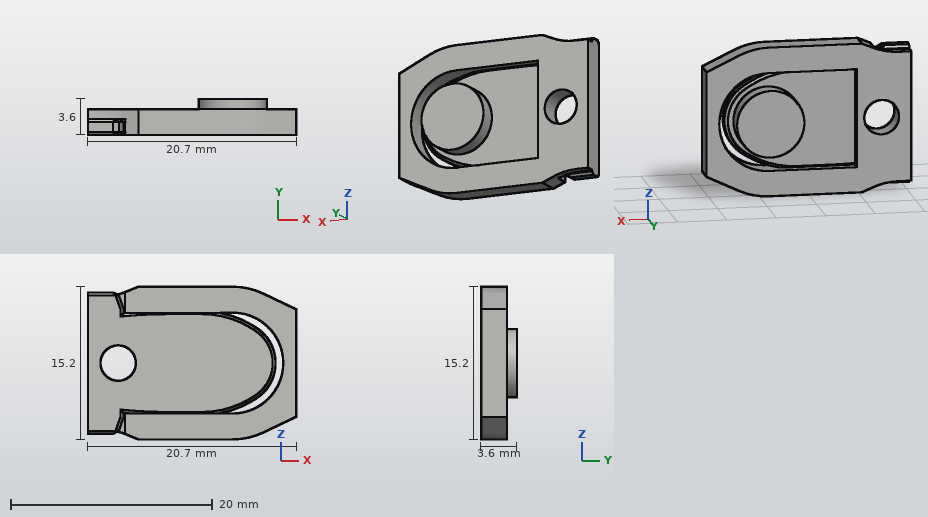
import cadquery as cq
import math

LENGTH = 20.7
HALF_WIDTH = 7.6
THICKNESS = 2.6
NECK_HALF_WIDTH = 6.6
NECK_LENGTH = 1.27
NECK_ARC_END_X = 4.05
ARM_FLAT_START_X = 5.0
NECK_SLOPE = math.radians(22.5)
WINDOW_RADIUS = 5.0
WINDOW_CENTER_X = 14.4
NOSE_RADIUS = 7.0
NOSE_SLOPE = math.radians(25.5)
ARM_FRONT_START_X = 3.7
BACK_WINDOW_START_X = 5.5

INSERT_THICKNESS = 1.6
INSERT_CHAMFER = 0.3
HEAD_HALF_WIDTH = 7.03
HEAD_CORNER_X = 2.96
HEAD_CUT_START_X = 2.5
HEAD_CUT_END_X = 3.07
HEAD_SIDE_X = 3.51
HEAD_SIDE_TOP_Z = 5.46
TONGUE_ROOT_HALF_WIDTH = 4.95
CROWN_HALF_WIDTH = 5.155
CROWN_START_X = 7.8
CROWN_END_X = 11.4
TIP_X = 18.66
TIP_RADIUS = 4.17
TIP_BLEND_ANGLE = math.radians(31)

HOLE_DIAMETER = 3.5
HOLE_X = 3.0
PAD_DIAMETER = 6.8
PAD_HEIGHT = 1.0


def extrude_y(sketch, y_start, depth):
    """Extrude a closed XZ outline towards +Y, starting at y_start."""
    return sketch.extrude(-depth).translate((0, y_start, 0))


def with_mirror(half):
    """Join a solid lying on z >= 0 to its mirror image."""
    return half.union(half.mirror("XY"))


def cylinder_y(x, diameter, y_start, depth):
    """Round bar along Y on the centre line of the part."""
    return extrude_y(cq.Workplane("XZ").center(x, 0).circle(diameter / 2), y_start, depth)


def frame_blank():
    """Outer shape of the frame over the full thickness, without window or head recess."""
    neck_end_z = HALF_WIDTH - (ARM_FLAT_START_X - NECK_ARC_END_X) * math.tan(NECK_SLOPE)
    nose_end_x = WINDOW_CENTER_X + NOSE_RADIUS * math.sin(NOSE_SLOPE)
    nose_end_z = HALF_WIDTH - NOSE_RADIUS * (1 - math.cos(NOSE_SLOPE))
    end_half_width = nose_end_z - (LENGTH - nose_end_x) * math.tan(NOSE_SLOPE)
    half = (
        cq.Workplane("XZ")
        .lineTo(0, NECK_HALF_WIDTH)
        .lineTo(NECK_LENGTH, NECK_HALF_WIDTH)
        .tangentArcPoint((NECK_ARC_END_X, neck_end_z), relative=False)
        .lineTo(ARM_FLAT_START_X, HALF_WIDTH)
        .lineTo(WINDOW_CENTER_X, HALF_WIDTH)
        .tangentArcPoint((nose_end_x, nose_end_z), relative=False)
        .lineTo(LENGTH, end_half_width)
        .lineTo(LENGTH, 0)
        .close()
    )
    return with_mirror(extrude_y(half, 0, THICKNESS))


def window_layer(start_x, y_start, depth):
    """Straight-sided, round-ended opening between the arms, over one layer."""
    straight = WINDOW_CENTER_X - start_x
    outline = (
        cq.Workplane("XZ")
        .center(start_x + straight / 2, 0)
        .rect(straight, 2 * WINDOW_RADIUS)
    )
    end = cylinder_y(WINDOW_CENTER_X, 2 * WINDOW_RADIUS, y_start, depth)
    return extrude_y(outline, y_start, depth).union(end)


def window():
    """Window of the frame, shorter at the back so that a wall backs the hole."""
    front = window_layer(ARM_FRONT_START_X, 0, INSERT_THICKNESS)
    back = window_layer(BACK_WINDOW_START_X, INSERT_THICKNESS, THICKNESS - INSERT_THICKNESS)
    return front.union(back)


def head_recess():
    """Front part of the neck that makes room for the head of the insert."""
    outline = (
        cq.Workplane("XZ")
        .center(ARM_FRONT_START_X / 2, 0)
        .rect(ARM_FRONT_START_X, 2 * HALF_WIDTH)
    )
    return extrude_y(outline, 0, INSERT_THICKNESS)


def head_corner_cut():
    """Wedges for the two outer head corners: a flat with a sloped triangle at each end."""
    side_run = HEAD_SIDE_X - HEAD_CORNER_X
    side_drop = HEAD_HALF_WIDTH - HEAD_SIDE_TOP_Z
    cut_run = HEAD_CUT_END_X - HEAD_CUT_START_X
    cut_drop = (HEAD_CUT_END_X - HEAD_CORNER_X) * side_drop / side_run
    cut_length = math.hypot(cut_run, cut_drop)
    outward = (cut_drop / cut_length, cut_run / cut_length)
    corner_turn = math.atan2(side_drop, side_run)
    face_corner_x = HEAD_CORNER_X - INSERT_CHAMFER * math.tan(corner_turn / 2)
    inset = INSERT_CHAMFER * outward[1] - (face_corner_x - HEAD_CUT_START_X) * outward[0]
    across = cq.Plane(
        origin=(HEAD_CUT_START_X, 0, HEAD_HALF_WIDTH),
        xDir=(outward[0], 0, outward[1]),
        normal=(-cut_run, 0, cut_drop),
    )
    wedge = (
        cq.Workplane(across)
        .moveTo(-inset, 0)
        .lineTo(0, INSERT_CHAMFER)
        .lineTo(0, INSERT_THICKNESS - INSERT_CHAMFER)
        .lineTo(-inset, INSERT_THICKNESS)
        .lineTo(cut_length, INSERT_THICKNESS)
        .lineTo(cut_length, 0)
        .close()
        .extrude(2 * cut_length, both=True)
    )
    return with_mirror(wedge)


def insert():
    """Head and tongue in one piece, chamfered on the front and back edges."""
    sin_blend = math.sin(TIP_BLEND_ANGLE)
    cos_blend = math.cos(TIP_BLEND_ANGLE)
    tip_center_x = TIP_X - TIP_RADIUS
    shoulder_radius = (
        (tip_center_x - CROWN_END_X) * sin_blend + TIP_RADIUS - CROWN_HALF_WIDTH * cos_blend
    ) / (1 - cos_blend)
    shoulder_end = (
        CROWN_END_X + shoulder_radius * sin_blend,
        CROWN_HALF_WIDTH - shoulder_radius * (1 - cos_blend),
    )
    tip_start = (tip_center_x + TIP_RADIUS * sin_blend, TIP_RADIUS * cos_blend)

    def lower(point):
        return (point[0], -point[1])

    crown_start = (CROWN_START_X, CROWN_HALF_WIDTH)
    crown_end = (CROWN_END_X, CROWN_HALF_WIDTH)
    root = (HEAD_SIDE_X, TONGUE_ROOT_HALF_WIDTH)
    root_mid = (
        (CROWN_START_X + HEAD_SIDE_X) / 2,
        CROWN_HALF_WIDTH - (CROWN_HALF_WIDTH - TONGUE_ROOT_HALF_WIDTH) / 4,
    )
    outline = (
        cq.Workplane("XZ")
        .moveTo(0, -HEAD_HALF_WIDTH)
        .lineTo(0, HEAD_HALF_WIDTH)
        .lineTo(HEAD_CORNER_X, HEAD_HALF_WIDTH)
        .lineTo(HEAD_SIDE_X, HEAD_SIDE_TOP_Z)
        .lineTo(*root)
        .threePointArc(root_mid, crown_start)
        .lineTo(*crown_end)
        .tangentArcPoint(shoulder_end, relative=False)
        .lineTo(*tip_start)
        .threePointArc((TIP_X, 0), lower(tip_start))
        .lineTo(*lower(shoulder_end))
        .tangentArcPoint(lower(crown_end), relative=False)
        .lineTo(*lower(crown_start))
        .threePointArc(lower(root_mid), lower(root))
        .lineTo(HEAD_SIDE_X, -HEAD_SIDE_TOP_Z)
        .lineTo(HEAD_CORNER_X, -HEAD_HALF_WIDTH)
        .close()
    )
    body = extrude_y(outline, 0, INSERT_THICKNESS)
    rims = body.faces("<Y or >Y").edges("not(<X)")
    return rims.chamfer(INSERT_CHAMFER).cut(head_corner_cut())


def pad():
    """Round pad behind the tongue, standing proud of the back face."""
    depth = THICKNESS - INSERT_THICKNESS + PAD_HEIGHT
    return cylinder_y(WINDOW_CENTER_X, PAD_DIAMETER, INSERT_THICKNESS, depth)


frame = frame_blank().cut(window()).cut(head_recess())
hole = cylinder_y(HOLE_X, HOLE_DIAMETER, 0, THICKNESS)
result = frame.union(insert()).union(pad()).cut(hole)